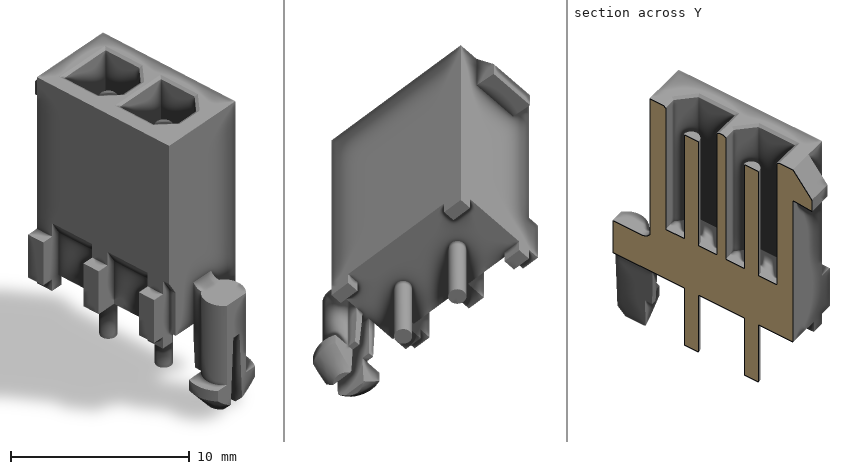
import cadquery as cq
import math


housing_width = 9.85
housing_depth = 5.6
housing_height = 13.48
front_y = -housing_depth / 2
back_y = housing_depth / 2
mid_x = housing_width / 2

contact_pitch = 4.12
contact_count = 2
pin_diameter = 1.02
pin_tail = 4.45
pin_tip_below_top = 1.47
cavity_size = 3.86
cavity_corner = 1.1
cavity_lead_in = 0.19
cavity_lead_in_depth = 0.11
cavity_floor_z = 3.9

rib_width = 1.13
rib_depth = 0.75
rib_height = 2.97
recess_depth = 0.55
recess_height = 3.9

foot_height = 0.8
front_foot_depth = 0.8
back_foot_width = 1.26
back_foot_depth = 0.76

latch_reach = 1.3
latch_width = 2.99
latch_ramp_drop = 1.63
latch_root_drop = 2.43
latch_lip_drop = 2.55

neck_length = 0.61
neck_width = 1.49
neck_flare = 0.35
neck_taper = 0.11
peg_width = 1.93
peg_diameter = 2.53
peg_top_z = 2.53
barb_top_z = -2.97
barb_shoulder_z = -3.7
peg_tip_z = -5.09
barb_radius = 1.97
barb_tip_radius = 0.82
barb_axis_inset = 1.19
slot_mouth_width = 1.0
slot_top_width = 0.52
slot_top_z = 0
peg_left_x = housing_width + neck_length
peg_right_x = peg_left_x + peg_width
peg_axis_x = peg_left_x + peg_width / 2

contact_xs = [mid_x + (i - (contact_count - 1) / 2) * contact_pitch for i in range(contact_count)]
rib_xs = [i * contact_pitch for i in range(contact_count + 1)]


def block(x0, x1, y0, y1, z0, z1):
    """Axis-aligned box between two opposite corners."""
    return cq.Workplane("XY").box(x1 - x0, y1 - y0, z1 - z0, centered=False).translate((x0, y0, z0))


def cylinder(x, radius, z0, z1):
    """Upright cylinder on the mid-depth plane."""
    return cq.Workplane("XY").workplane(offset=z0).center(x, 0).circle(radius).extrude(z1 - z0)


def cavity(x):
    """Square contact cavity with its two right-hand corners cut off and a sloped lead-in at its mouth."""
    half = cavity_size / 2
    flat_end = half - cavity_corner
    lead_in_angle = math.degrees(math.atan2(cavity_lead_in, cavity_lead_in_depth))
    mouth = (
        cq.Workplane("XY")
        .workplane(offset=housing_height)
        .center(x, 0)
        .polyline(
            [
                (-half, -half),
                (flat_end, -half),
                (half, -flat_end),
                (half, flat_end),
                (flat_end, half),
                (-half, half),
            ]
        )
        .close()
        .extrude(-cavity_lead_in_depth, taper=lead_in_angle)
    )
    shaft_depth = housing_height - cavity_lead_in_depth - cavity_floor_z
    return mouth.faces("<Z").wires().toPending().workplane().extrude(shaft_depth)


def recess(x0, x1):
    """Front-face recess, open at the underside, whose roof slopes down into the housing."""
    return (
        cq.Workplane("YZ")
        .workplane(offset=x0)
        .polyline(
            [
                (front_y, 0),
                (front_y + recess_depth, 0),
                (front_y + recess_depth, rib_height),
                (front_y, recess_height),
            ]
        )
        .close()
        .extrude(x1 - x0)
    )


def latch():
    """Ramp that starts at the top edge and ends in a slightly undercut lip."""
    return (
        cq.Workplane("XZ")
        .polyline(
            [
                (0, housing_height),
                (-latch_reach, housing_height - latch_ramp_drop),
                (-latch_reach, housing_height - latch_lip_drop),
                (0, housing_height - latch_root_drop),
            ]
        )
        .close()
        .extrude(latch_width / 2, both=True)
    )


def neck():
    """Web joining the peg to the housing: flared up along an arc above, tapered below the feet."""
    flare_radius = (neck_length**2 + neck_flare**2) / (2 * neck_flare)
    return (
        cq.Workplane("XZ")
        .moveTo(housing_width, -foot_height)
        .lineTo(housing_width, peg_top_z + neck_flare)
        .radiusArc((peg_left_x, peg_top_z), -flare_radius)
        .lineTo(peg_axis_x, peg_top_z)
        .lineTo(peg_axis_x, barb_top_z)
        .lineTo(housing_width + neck_taper, barb_top_z)
        .close()
        .extrude(neck_width / 2, both=True)
    )


def peg():
    """Round peg with a conical barb, flattened on its left and right sides."""
    barb_axis_x = peg_right_x - barb_axis_inset
    shaft = cylinder(peg_axis_x, peg_diameter / 2, barb_top_z, peg_top_z)
    collar = cylinder(barb_axis_x, barb_radius, barb_shoulder_z, barb_top_z)
    cone_height = barb_shoulder_z - peg_tip_z
    cone_tip = cq.Vector(barb_axis_x, 0, peg_tip_z)
    cone = cq.Workplane(cq.Solid.makeCone(barb_tip_radius, barb_radius, cone_height, pnt=cone_tip))
    flats = block(peg_left_x, peg_right_x, -barb_radius, barb_radius, peg_tip_z, peg_top_z)
    return shaft.union(collar).union(cone).intersect(flats)


def peg_slot():
    """Slot that splits the peg and neck into two legs, narrowing upwards."""
    half_mouth = slot_mouth_width / 2
    half_top = slot_top_width / 2
    return (
        cq.Workplane("YZ")
        .workplane(offset=housing_width)
        .polyline(
            [
                (-half_mouth, peg_tip_z),
                (half_mouth, peg_tip_z),
                (half_top, slot_top_z),
                (-half_top, slot_top_z),
            ]
        )
        .close()
        .extrude(peg_right_x - housing_width)
    )


result = block(0, housing_width, front_y, back_y, 0, housing_height)
recess_ends = rib_xs[1:] + [housing_width]
for rib_x, recess_end in zip(rib_xs, recess_ends):
    result = result.cut(recess(rib_x + rib_width, recess_end))

for rib_x in rib_xs:
    result = result.union(block(rib_x, rib_x + rib_width, front_y - rib_depth, front_y, 0, rib_height))

for foot_x in (rib_xs[0], rib_xs[-1]):
    foot = block(foot_x, foot_x + rib_width, front_y, front_y + front_foot_depth, -foot_height, 0)
    result = result.union(foot)
for foot_x in (0, housing_width - back_foot_width):
    foot = block(foot_x, foot_x + back_foot_width, back_y - back_foot_depth, back_y, -foot_height, 0)
    result = result.union(foot)

board_lock = neck().union(peg()).cut(peg_slot())
result = result.union(latch()).union(board_lock)

for contact_x in contact_xs:
    pin = cylinder(contact_x, pin_diameter / 2, -pin_tail, housing_height - pin_tip_below_top)
    result = result.cut(cavity(contact_x)).union(pin)